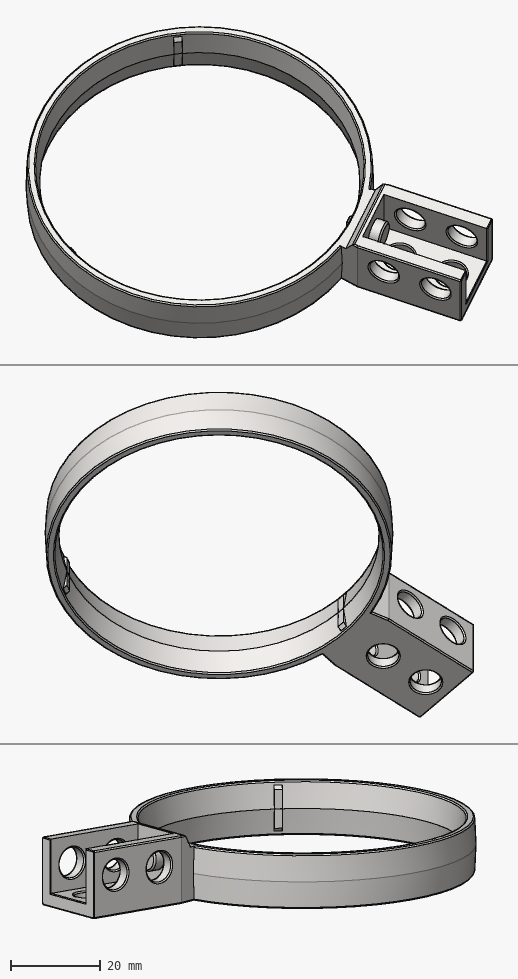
import cadquery as cq

RING_HEIGHT = 12.5
OUTER_MID_RADIUS = 39.05
OUTER_RIM_RADIUS = 38.8
INNER_MID_RADIUS = 35.9
INNER_RIM_RADIUS = 36.9
RIM_CHAMFER = 0.3

RIB_COUNT = 3
RIB_WIDTH = 1.9
RIB_END_GAP = 0.5

BRACKET_END = 67.2
BRACKET_START = 42.1
BRACKET_WIDTH = 18.8
BRACKET_HEIGHT = 15.6
BRACKET_CHAMFER = 0.3
END_CHAMFER = 0.2
SLOT_WIDTH = 12.5
FLOOR_THICKNESS = (BRACKET_WIDTH - SLOT_WIDTH) / 2

NECK_ROOT = 37.4
NECK_ROOT_WIDTH = 17.0
SLOPE_START = 39.0
SLOPE_END = 40.9

HOLE_COUNT = 2
HOLE_DIAMETER = 7.0
HOLE_CHAMFER = 0.3
HOLE_SPACING = 12.5
FIRST_HOLE_X = 48.5
HOLE_HEIGHT = 9.4

STUD_DIAMETER = 6.4
STUD_LENGTH = 2.8
STUD_CHAMFER = 0.4


def make_ring():
    mid = RING_HEIGHT / 2
    c = RIM_CHAMFER
    profile = [
        (OUTER_MID_RADIUS, mid),
        (OUTER_RIM_RADIUS, RING_HEIGHT - c),
        (OUTER_RIM_RADIUS - c, RING_HEIGHT),
        (INNER_RIM_RADIUS + c, RING_HEIGHT),
        (INNER_RIM_RADIUS, RING_HEIGHT - c),
        (INNER_MID_RADIUS, mid),
        (INNER_RIM_RADIUS, c),
        (INNER_RIM_RADIUS + c, 0),
        (OUTER_RIM_RADIUS - c, 0),
        (OUTER_RIM_RADIUS, c),
    ]
    ring = cq.Workplane("XZ").polyline(profile).close().revolve(360, (0, 0), (0, 1))
    return ring.rotate((0, 0, 0), (0, 0, 1), 180)


def make_rib(angle):
    mid = RING_HEIGHT / 2
    face = INNER_MID_RADIUS
    wall = INNER_RIM_RADIUS + RIM_CHAMFER
    low = RIB_END_GAP
    high = RING_HEIGHT - RIB_END_GAP
    rise = wall - face
    profile = [(wall, low), (face, low + rise), (face, high - rise), (wall, high)]
    rib = cq.Workplane("XZ").polyline(profile).close().extrude(RIB_WIDTH / 2, both=True)
    return rib.rotate((0, 0, 0), (0, 0, 1), angle)


def make_bracket():
    length = BRACKET_END - BRACKET_START
    block = (
        cq.Workplane("XY")
        .box(length, BRACKET_WIDTH, BRACKET_HEIGHT, centered=(False, True, False))
        .translate((BRACKET_START, 0, 0))
        .edges("|X")
        .chamfer(BRACKET_CHAMFER)
    )
    slot = (
        cq.Workplane("XY", origin=(BRACKET_START, 0, FLOOR_THICKNESS))
        .box(length, SLOT_WIDTH, BRACKET_HEIGHT, centered=(False, True, False))
    )
    return block.cut(slot).faces(">X").edges().chamfer(END_CHAMFER)


def make_neck():
    side = [
        (NECK_ROOT, 0),
        (BRACKET_START, 0),
        (BRACKET_START, BRACKET_HEIGHT),
        (SLOPE_END, BRACKET_HEIGHT),
        (SLOPE_START, RING_HEIGHT),
        (NECK_ROOT, RING_HEIGHT),
    ]
    root = NECK_ROOT_WIDTH / 2
    end = BRACKET_WIDTH / 2
    plan = [(NECK_ROOT, -root), (BRACKET_START, -end), (BRACKET_START, end), (NECK_ROOT, root)]
    body = cq.Workplane("XZ").polyline(side).close().extrude(BRACKET_WIDTH / 2, both=True)
    neck = body.intersect(cq.Workplane("XY").polyline(plan).close().extrude(BRACKET_HEIGHT))
    neck = neck.faces(">Z").edges("not >X").chamfer(BRACKET_CHAMFER)
    return neck.faces("<Z").edges("not (|Y)").chamfer(BRACKET_CHAMFER)


def make_stud():
    return (
        cq.Workplane("YZ", origin=(BRACKET_START, 0, HOLE_HEIGHT))
        .circle(STUD_DIAMETER / 2)
        .extrude(STUD_LENGTH)
        .faces(">X")
        .chamfer(STUD_CHAMFER)
    )


def make_hole_cutter(low, high):
    """Upright hole cutter from low to high, flared at both ends."""
    radius = HOLE_DIAMETER / 2
    flare = radius + HOLE_CHAMFER
    profile = [
        (0, low),
        (flare, low),
        (radius, low + HOLE_CHAMFER),
        (radius, high - HOLE_CHAMFER),
        (flare, high),
        (0, high),
    ]
    return cq.Workplane("XZ").polyline(profile).close().revolve(360, (0, 0), (0, 1))


result = make_ring()
for i in range(RIB_COUNT):
    result = result.union(make_rib(i * 360 / RIB_COUNT))
result = result.union(make_neck()).union(make_bracket()).union(make_stud())

cheeks = [(-BRACKET_WIDTH / 2, -SLOT_WIDTH / 2), (SLOT_WIDTH / 2, BRACKET_WIDTH / 2)]
for i in range(HOLE_COUNT):
    x = FIRST_HOLE_X + i * HOLE_SPACING
    result = result.cut(make_hole_cutter(0, FLOOR_THICKNESS).translate((x, 0, 0)))
    for low, high in cheeks:
        cutter = make_hole_cutter(low, high).rotate((0, 0, 0), (1, 0, 0), -90)
        result = result.cut(cutter.translate((x, 0, HOLE_HEIGHT)))